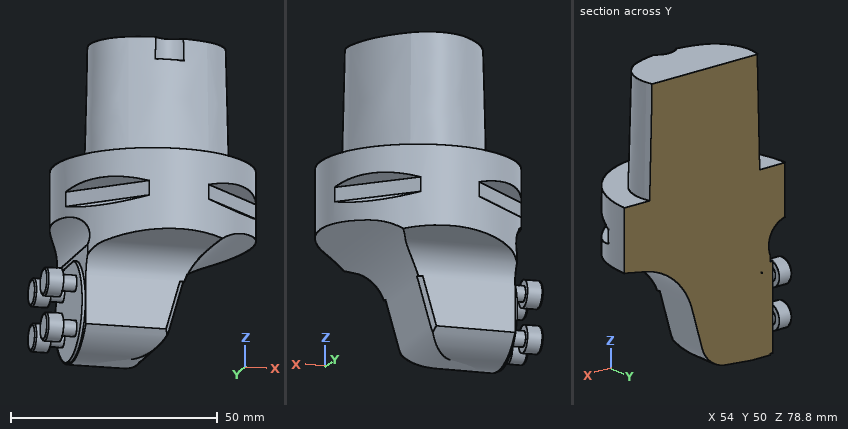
import cadquery as cq
import math


SHANK_LENGTH = 30.0
LOBE_TIP = 18.63
FLANK_MID = 16.27
LOBE_RADIUS = 11.75
SHANK_TAPER = math.degrees(math.atan(1 / 40))

NOTCH_RADIUS = 5.0
NOTCH_AXIS_Y = -18.9
NOTCH_DEPTH = 5.5

FLANGE_RADIUS = 25.0

GROOVE_Z = -10.0
GROOVE_FLOOR_WIDTH = 3.6
GROOVE_DEPTH = 2.85
GROOVE_WALL_SLOPE = 30.0
GROOVE_ANGLES = (45.0, 135.0, 225.0, 315.0)

NECK_HALF_WIDTH = 13.0
NECK_BOTTOM_Z = -48.8
NECK_BOTTOM_RADIUS = 16.0
UNDERSIDE_RIM_Z = -20.0
UNDERSIDE_SLOPE = 20.0
UNDERSIDE_BLEND = 8.0

MOUNT_FACE_X = -20.35
UNDERCUT_RADIUS = 6.5
UNDERCUT_AXIS_X = -26.45
UNDERCUT_AXIS_Z = -20.5
BACK_RIM_Z = -17.0
BACK_RIM_SLOPE = 10.0
BACK_LEAN = 16.0
BACK_CORNER_X = 7.15
BACK_BLEND = 18.3
BOTTOM_EDGE_X = -14.6
BOTTOM_SLOPE = 5.0
BOTTOM_BLEND = 8.5
BACK_CHAMFER = 1.05

PAD_CENTER_Z = -36.0
PAD_RADIUS = 12.45
PAD_TOP_Z = -24.55
PAD_THICKNESS = 0.8
SCREW_SPACING = 11.25
SCREW_END_X = -28.98
SCREW_SHANK_DIAMETER = 4.0
SCREW_HEAD_DIAMETER = 7.0
SCREW_HEAD_LENGTH = 4.1
SCREW_HEAD_CHAMFER = 0.4

CLEARANCE = 5.0
OUTER = FLANGE_RADIUS + CLEARANCE


def polar(center, radius, degrees):
    angle = math.radians(degrees)
    return (center[0] + radius * math.cos(angle), center[1] + radius * math.sin(angle))


def slope(degrees):
    return math.tan(math.radians(degrees))


def rounded_corner(before, corner, after, radius):
    """Start, middle and end of the arc that rounds a corner of a polyline."""
    vertex = cq.Vector(*corner)
    back = (cq.Vector(*before) - vertex).normalized()
    ahead = (cq.Vector(*after) - vertex).normalized()
    half_angle = back.getAngle(ahead) / 2
    setback = radius / math.tan(half_angle)
    bisector = (back + ahead).normalized()
    middle = vertex + bisector * (radius / math.sin(half_angle) - radius)
    start = vertex + back * setback
    end = vertex + ahead * setback
    return [(point.x, point.y) for point in (start, middle, end)]


def make_shank():
    lobe_offset = LOBE_TIP - LOBE_RADIUS
    gap = FLANK_MID - LOBE_RADIUS
    flank_offset = (lobe_offset**2 - gap**2) / (2 * gap - lobe_offset)
    flank_radius = flank_offset + FLANK_MID

    def seam(lobe_angle, side):
        flank_center = polar((0, 0), flank_offset, lobe_angle - side * 120)
        lobe_center = polar((0, 0), lobe_offset, lobe_angle)
        normal = math.atan2(lobe_center[1] - flank_center[1], lobe_center[0] - flank_center[0])
        return polar(flank_center, flank_radius, math.degrees(normal))

    outline = cq.Workplane("XY").moveTo(*seam(90, -1))
    for lobe_angle in (90, 210, 330):
        outline = outline.threePointArc(polar((0, 0), LOBE_TIP, lobe_angle), seam(lobe_angle, 1))
        flank_middle = polar((0, 0), FLANK_MID, lobe_angle + 60)
        outline = outline.threePointArc(flank_middle, seam(lobe_angle + 120, -1))
    shank = outline.close().extrude(SHANK_LENGTH, taper=SHANK_TAPER)

    notch = (
        cq.Workplane("XY", origin=(0, NOTCH_AXIS_Y, SHANK_LENGTH - NOTCH_DEPTH))
        .circle(NOTCH_RADIUS)
        .extrude(NOTCH_DEPTH)
    )
    return shank.cut(notch)


UNDERSIDE_OUTER = (OUTER, UNDERSIDE_RIM_Z + CLEARANCE * slope(UNDERSIDE_SLOPE))


def underside_blend():
    """Start, middle and end of the arc between flange underside and neck side."""
    corner_z = UNDERSIDE_RIM_Z - (FLANGE_RADIUS - NECK_HALF_WIDTH) * slope(UNDERSIDE_SLOPE)
    below = (NECK_HALF_WIDTH, NECK_BOTTOM_Z)
    return rounded_corner(UNDERSIDE_OUTER, (NECK_HALF_WIDTH, corner_z), below, UNDERSIDE_BLEND)


def neck_along_x():
    """Outline in Y and Z, extruded through the full depth in X."""
    start, middle, end = underside_blend()
    bottom_axis_z = NECK_BOTTOM_Z + NECK_BOTTOM_RADIUS
    side_end_z = bottom_axis_z - math.sqrt(NECK_BOTTOM_RADIUS**2 - NECK_HALF_WIDTH**2)
    side_end = (NECK_HALF_WIDTH, side_end_z)

    def mirrored(point):
        return (-point[0], point[1])

    return (
        cq.Workplane("YZ", origin=(-OUTER, 0, 0))
        .moveTo(OUTER, 0)
        .lineTo(*UNDERSIDE_OUTER)
        .lineTo(*start)
        .threePointArc(middle, end)
        .lineTo(*side_end)
        .threePointArc((0, NECK_BOTTOM_Z), mirrored(side_end))
        .lineTo(*mirrored(end))
        .threePointArc(mirrored(middle), mirrored(start))
        .lineTo(*mirrored(UNDERSIDE_OUTER))
        .lineTo(-OUTER, 0)
        .close()
        .extrude(2 * OUTER)
    )


def back_profile():
    """Points of the back, from the flange rim down to the mounting face."""
    rim_slope = slope(BACK_RIM_SLOPE)
    lean = slope(BACK_LEAN)
    rise = slope(BOTTOM_SLOPE)
    upper = (BACK_CORNER_X, BACK_RIM_Z - (FLANGE_RADIUS - BACK_CORNER_X) * rim_slope)
    bottom_at_upper = NECK_BOTTOM_Z + (upper[0] - BOTTOM_EDGE_X) * rise
    drop = (upper[1] - bottom_at_upper) / (1 - lean * rise)
    lower = (upper[0] - drop * lean, upper[1] - drop)
    rim = (OUTER, BACK_RIM_Z + CLEARANCE * rim_slope)
    foot = (MOUNT_FACE_X, NECK_BOTTOM_Z + (MOUNT_FACE_X - BOTTOM_EDGE_X) * rise)
    upper_arc = rounded_corner(rim, upper, lower, BACK_BLEND)
    lower_arc = rounded_corner(upper, lower, foot, BOTTOM_BLEND)
    return rim, upper_arc, lower_arc, foot


def neck_along_y():
    """Outline in X and Z, extruded through the full width in Y."""
    rim, upper_arc, lower_arc, foot = back_profile()
    face_reach = MOUNT_FACE_X - UNDERCUT_AXIS_X
    undercut_end_z = UNDERCUT_AXIS_Z - math.sqrt(UNDERCUT_RADIUS**2 - face_reach**2)
    undercut_axis = (UNDERCUT_AXIS_X, UNDERCUT_AXIS_Z)
    undercut_top = polar(undercut_axis, UNDERCUT_RADIUS, 90)
    return (
        cq.Workplane("XZ", origin=(0, OUTER, 0))
        .moveTo(OUTER, 0)
        .lineTo(*rim)
        .lineTo(*upper_arc[0])
        .threePointArc(*upper_arc[1:])
        .lineTo(*lower_arc[0])
        .threePointArc(*lower_arc[1:])
        .lineTo(*foot)
        .lineTo(MOUNT_FACE_X, undercut_end_z)
        .threePointArc(polar(undercut_axis, UNDERCUT_RADIUS, 0), undercut_top)
        .lineTo(-OUTER, undercut_top[1])
        .lineTo(-OUTER, 0)
        .close()
        .extrude(2 * OUTER)
    )


def make_groove(angle):
    floor_distance = FLANGE_RADIUS - GROOVE_DEPTH
    floor_half = GROOVE_FLOOR_WIDTH / 2
    outer_half = floor_half + (OUTER - floor_distance) * slope(GROOVE_WALL_SLOPE)
    return (
        cq.Workplane("XZ", origin=(0, OUTER, GROOVE_Z))
        .moveTo(floor_distance, -floor_half)
        .lineTo(OUTER, -outer_half)
        .lineTo(OUTER, outer_half)
        .lineTo(floor_distance, floor_half)
        .close()
        .extrude(2 * OUTER)
        .rotate((0, 0, 0), (0, 0, 1), angle)
    )


def chamfer_back_edges(neck):
    """Chamfer both back edges of the neck, only below the flare to the flange."""
    upper_arc, lower_arc = back_profile()[1:3]
    edge_x = (upper_arc[2][0] + lower_arc[0][0]) / 2
    edge_z = (upper_arc[2][1] + lower_arc[0][1]) / 2
    chamfered = neck
    for side in (-1, 1):
        edge = cq.selectors.NearestToPointSelector((edge_x, side * NECK_HALF_WIDTH, edge_z))
        chamfered = chamfered.edges(edge).chamfer(BACK_CHAMFER)
    flare_end_z = underside_blend()[2][1]
    below_flare = (
        cq.Workplane("XY", origin=(0, 0, flare_end_z))
        .rect(2 * OUTER, 2 * OUTER)
        .extrude(NECK_BOTTOM_Z - CLEARANCE - flare_end_z)
    )
    return neck.cut(below_flare).union(chamfered.intersect(below_flare))


def make_body():
    barrel = cq.Workplane("XY").circle(FLANGE_RADIUS).extrude(NECK_BOTTOM_Z)
    body = barrel.intersect(neck_along_x()).intersect(neck_along_y())
    body = chamfer_back_edges(body)
    for angle in GROOVE_ANGLES:
        body = body.cut(make_groove(angle))
    return body


def make_pad():
    top_height = PAD_TOP_Z - PAD_CENTER_Z
    half_flat = math.sqrt(PAD_RADIUS**2 - top_height**2)
    return (
        cq.Workplane("YZ", origin=(MOUNT_FACE_X - PAD_THICKNESS, 0, PAD_CENTER_Z))
        .moveTo(-half_flat, top_height)
        .lineTo(half_flat, top_height)
        .threePointArc((0, -PAD_RADIUS), (-half_flat, top_height))
        .close()
        .extrude(PAD_THICKNESS)
    )


def make_screw(y, z):
    plane = cq.Workplane("YZ", origin=(SCREW_END_X, y, z))
    head = plane.circle(SCREW_HEAD_DIAMETER / 2).extrude(SCREW_HEAD_LENGTH)
    head = head.faces("<X").chamfer(SCREW_HEAD_CHAMFER)
    stem = plane.circle(SCREW_SHANK_DIAMETER / 2).extrude(MOUNT_FACE_X - SCREW_END_X)
    return head.union(stem)


result = make_body().union(make_shank()).union(make_pad())
for y_side in (-1, 1):
    for z_side in (-1, 1):
        screw_y = y_side * SCREW_SPACING / 2
        screw_z = PAD_CENTER_Z + z_side * SCREW_SPACING / 2
        result = result.union(make_screw(screw_y, screw_z))